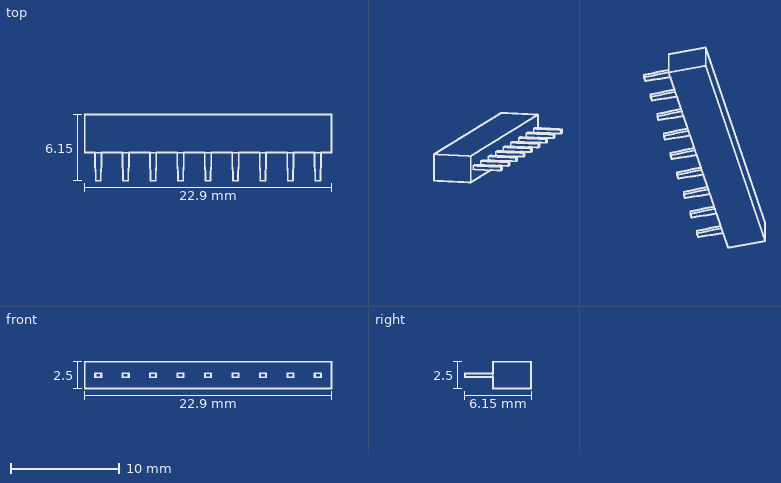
import cadquery as cq

pin_count = 9
housing_length = 22.85
housing_depth = 3.55
housing_height = 2.5
overall_depth = 6.15

pin_pitch = housing_length / pin_count
pin_length = overall_depth - housing_depth
pin_thickness = 0.35
root_width = 0.62
tip_width = 0.5
root_length = 1.25
taper_length = 0.5


def make_housing():
    """Block centred on X and Z, with its pin face on Y = 0."""
    return cq.Workplane("XY").box(
        housing_length, housing_depth, housing_height, centered=(True, False, True)
    )


def make_pin(x):
    """One pin centred at x, pointing along -Y from the pin face."""
    half_root = root_width / 2
    half_tip = tip_width / 2
    taper_end = root_length + taper_length
    outline = [
        (x - half_root, 0),
        (x - half_root, -root_length),
        (x - half_tip, -taper_end),
        (x - half_tip, -pin_length),
        (x + half_tip, -pin_length),
        (x + half_tip, -taper_end),
        (x + half_root, -root_length),
        (x + half_root, 0),
    ]
    return cq.Workplane("XY").polyline(outline).close().extrude(pin_thickness / 2, both=True)


result = make_housing()
for index in range(pin_count):
    pin_x = (index - (pin_count - 1) / 2) * pin_pitch
    result = result.union(make_pin(pin_x))